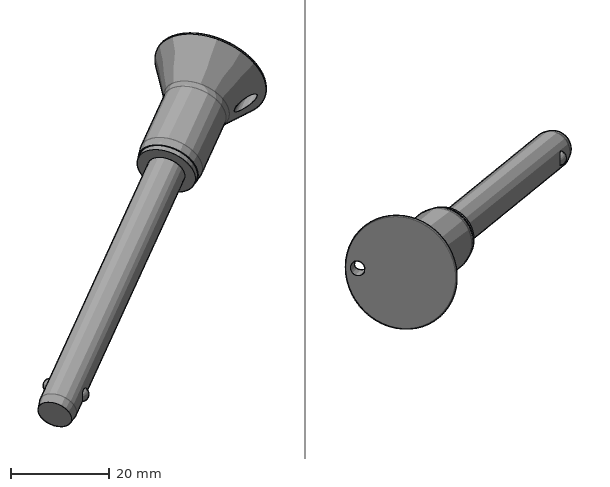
import cadquery as cq
import math

pin_length = 95.7

rim_diameter = 24.0
rim_radius = rim_diameter / 2
rim_edge_radius = 0.2
sleeve_radius = 6.8
cone_half_angle = math.radians(30)
cone_end_depth = 9.0
blend_end_depth = 10.1
sleeve_end_depth = 24.5
collar_radius = 6.5
collar_end_depth = 26.3
lip_radius = 6.3
handle_length = 27.5

shank_radius = 4.0
tip_radius = 3.6
tip_taper_length = 2.0

ball_radius = 1.5
ball_reach = 4.9
ball_to_tip = 6.9

lanyard_hole_diameter = 3.1
lanyard_hole_offset = 9.3

blend_length = blend_end_depth - cone_end_depth
cone_end_radius = sleeve_radius + blend_length * math.tan(cone_half_angle / 2)
cone_length = (rim_radius - cone_end_radius) / math.tan(cone_half_angle)
rim_thickness = cone_end_depth - cone_length

handle_face_y = pin_length / 2
tip_y = -pin_length / 2


def depth_y(depth):
    """Y position at a given depth below the handle's end face."""
    return handle_face_y - depth


def turned_body():
    """Handle and shank, turned as one profile about Y."""
    profile = (
        cq.Workplane("XY")
        .moveTo(0, handle_face_y)
        .lineTo(rim_radius - rim_edge_radius, handle_face_y)
        .radiusArc((rim_radius, depth_y(rim_edge_radius)), rim_edge_radius)
        .lineTo(rim_radius, depth_y(rim_thickness))
        .lineTo(cone_end_radius, depth_y(cone_end_depth))
        .tangentArcPoint((sleeve_radius, depth_y(blend_end_depth)), relative=False)
        .lineTo(sleeve_radius, depth_y(sleeve_end_depth))
        .lineTo(collar_radius, depth_y(collar_end_depth))
        .lineTo(lip_radius, depth_y(collar_end_depth))
        .lineTo(lip_radius, depth_y(handle_length))
        .lineTo(shank_radius, depth_y(handle_length))
        .lineTo(shank_radius, tip_y + tip_taper_length)
        .lineTo(tip_radius, tip_y)
        .lineTo(0, tip_y)
        .close()
    )
    return profile.revolve(360, (0, 0, 0), (0, 1, 0))


def locking_ball(side):
    """Ball standing proud of the shank on the +X (1) or -X (-1) side."""
    center_x = side * (ball_reach - ball_radius)
    return cq.Workplane("XY").sphere(ball_radius).translate((center_x, tip_y + ball_to_tip, 0))


def lanyard_hole():
    """Cutter parallel to Y, running through the whole flare."""
    return (
        cq.Workplane("XZ", origin=(lanyard_hole_offset, handle_face_y, 0))
        .circle(lanyard_hole_diameter / 2)
        .extrude(cone_end_depth)
    )


result = turned_body()
for side in (-1, 1):
    result = result.union(locking_ball(side))
result = result.cut(lanyard_hole())